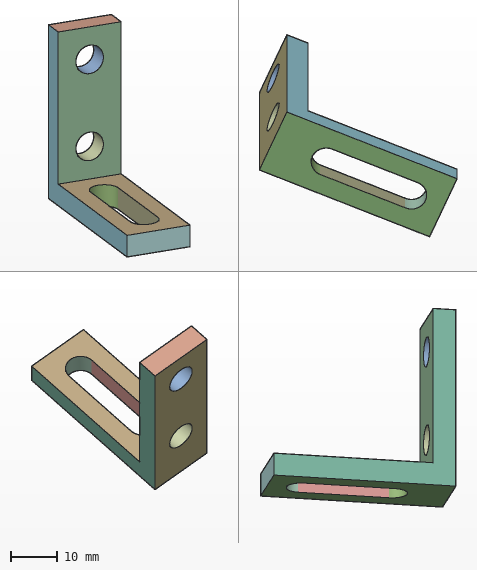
import cadquery as cq

leg_length = 40.0
width = 15.0
thickness = 5.0
hole_diameter = 6.5
center_spacing = 20.0
end_distance = width / 2

outer_center = leg_length - end_distance
inner_center = outer_center - center_spacing
slot_center = (outer_center + inner_center) / 2


def make_legs():
    """L-shaped body with its outer corner along the Y axis, centered in Y."""
    flat_leg = cq.Workplane("XY").box(leg_length, width, thickness, centered=(False, True, False))
    upright_leg = cq.Workplane("XY").box(thickness, width, leg_length, centered=(False, True, False))
    return flat_leg.union(upright_leg)


def make_upright_holes():
    """Two round cutters through the upright leg, along X."""
    centers = [(0, inner_center), (0, outer_center)]
    return cq.Workplane("YZ").pushPoints(centers).circle(hole_diameter / 2).extrude(thickness)


def make_flat_slot():
    """Round-ended cutter through the flat leg, long along X."""
    slot_length = center_spacing + hole_diameter
    return cq.Workplane("XY").center(slot_center, 0).slot2D(slot_length, hole_diameter).extrude(thickness)


result = make_legs().cut(make_upright_holes()).cut(make_flat_slot())